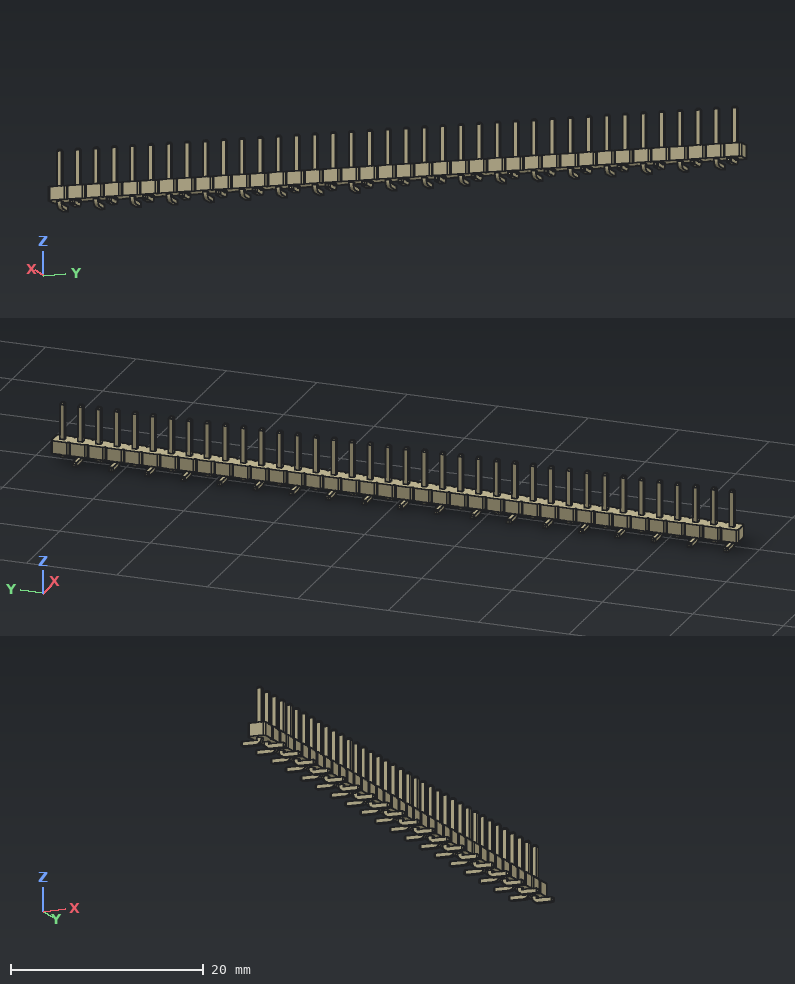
import cadquery as cq

pin_count = 38
row_length = 76.0
overall_width = 4.2
overall_height = 6.2

pitch = row_length / pin_count
body_width = 2.0
body_bottom = 0.75
body_top = 2.2
corner_cut = 0.205

pin_size = 0.5
tip_length = 0.19
tip_inset = 0.12
bend_radius = 0.6


def pin_y(index):
    """Centre of a pin, counted from the -Y end of the row."""
    return (index + 0.5) * pitch - row_length / 2


def make_body():
    """Long block with a V notch cut in both sides at every cell boundary and at both ends."""
    body = cq.Workplane("XY", origin=(0, 0, body_bottom)).box(
        body_width, row_length, body_top - body_bottom, centered=(True, True, False)
    )
    notch_places = []
    for boundary in range(pin_count + 1):
        boundary_y = boundary * pitch - row_length / 2
        for side in (-1, 1):
            notch_places.append((side * body_width / 2, boundary_y))
    notches = (
        cq.Workplane("XY", origin=(0, 0, body_bottom))
        .pushPoints(notch_places)
        .polygon(4, 2 * corner_cut)
        .extrude(body_top - body_bottom)
    )
    return body.cut(notches)


def make_tip(plane):
    """Square taper closing off one end of a pin, growing along the plane normal."""
    tip_size = pin_size - 2 * tip_inset
    return (
        cq.Workplane(plane)
        .rect(pin_size, pin_size)
        .workplane(offset=tip_length)
        .rect(tip_size, tip_size)
        .loft()
    )


def make_pin():
    """L-shaped square pin standing along Z with its foot pointing to -X."""
    half_size = pin_size / 2
    post_end = overall_height - tip_length
    foot_end = overall_width / 2 - tip_length
    shank = (
        cq.Workplane("XZ")
        .moveTo(-foot_end, 0)
        .lineTo(half_size - bend_radius, 0)
        .radiusArc((half_size, bend_radius), -bend_radius)
        .lineTo(half_size, post_end)
        .lineTo(-half_size, post_end)
        .lineTo(-half_size, pin_size)
        .lineTo(-foot_end, pin_size)
        .close()
        .extrude(half_size, both=True)
    )
    post_tip = make_tip(cq.Plane(origin=(0, 0, post_end)))
    foot_plane = cq.Plane(origin=(-foot_end, 0, half_size), xDir=(0, 1, 0), normal=(-1, 0, 0))
    foot_tip = make_tip(foot_plane)
    return shank.union(post_tip).union(foot_tip)


left_pin = make_pin()
right_pin = left_pin.rotate((0, 0, 0), (0, 0, 1), 180)

pins = []
for index in range(pin_count):
    pin = left_pin if index % 2 == 0 else right_pin
    pins.append(pin.translate((0, pin_y(index), 0)).val())

result = cq.Workplane(make_body().val().fuse(*pins))